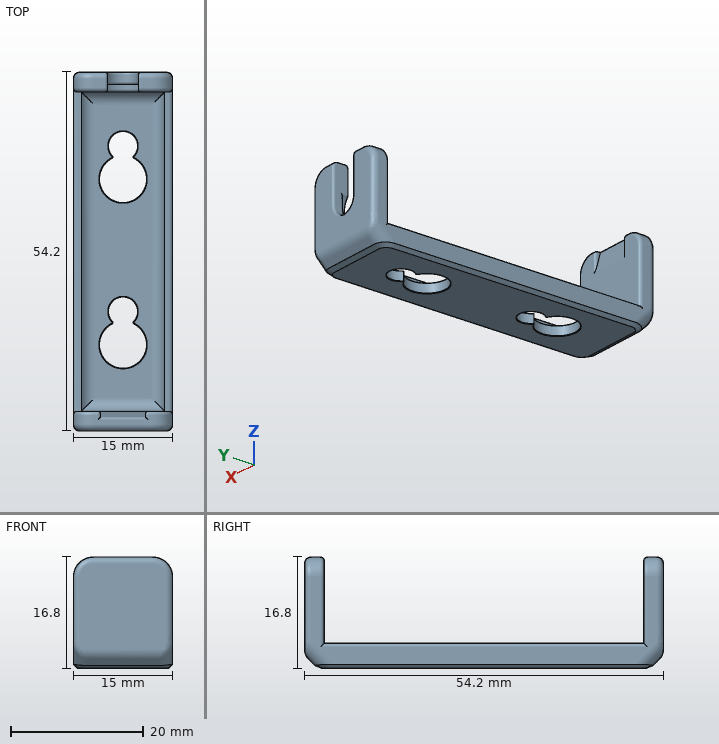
import cadquery as cq
import math

width = 15.0
length = 54.2
height = 16.8
end_thickness = 3.0
base_height = 3.8
inner_half_length = length / 2 - end_thickness

top_corner_radius = 3.0
heel_chamfer = 2.0
heel_fillet = 2.0
outer_fillet = 1.0
inner_fillet = 0.6
bottom_chamfer = 0.6

dish_width = 12.6
dish_depth = 2.0

keyhole_spacing = 25.0
keyhole_head_diameter = 7.1
keyhole_neck_diameter = 4.4
keyhole_corner_radius = 0.2
keyhole_bevel = 0.1
keyhole_first_head_y = -14.05
keyhole_offset = 5.0

slot_width = 4.65
seat_diameter = 6.4
seat_depth = 1.1
seat_center_z = 9.4
slot_fillet = 0.4

ramp_width = 6.8
ramp_depth = 1.0
ramp_angle = 15.0
ramp_fillet = 0.4

margin = 0.01


def pick_edges(body, wanted):
    """Select the edges whose bounding box satisfies the test."""
    edges = body.edges().vals()
    return body.newObject([edge for edge in edges if wanted(edge.BoundingBox())])


def on_end_face(box):
    """Edge lies in one of the two outer end planes."""
    return box.ylen < margin and abs(abs(box.ymin) - length / 2) < margin


def on_heel(box):
    """Edge bounds a heel chamfer, other than along the underside."""
    outside = abs(box.center.y) > length / 2 - heel_chamfer
    return outside and margin < box.zmax < heel_chamfer + margin


def on_inner_outline(box):
    """Edge belongs to the inner U outline on a side, or to the inner outline of an end."""
    on_side = box.xlen < margin and abs(abs(box.xmin) - width / 2) < margin
    inside = abs(box.center.y) < inner_half_length + margin
    on_end = box.ylen < margin and abs(abs(box.ymin) - inner_half_length) < margin
    above_base = box.zmin > base_height - margin and box.zmax > base_height + margin
    along_rim = box.zmax < base_height + margin and box.zmin > base_height - margin
    return (on_side and inside and along_rim) or (on_end and above_base)


def make_body():
    """U-shaped side outline across the full width, with rounded upper corners."""
    half = length / 2
    body = (
        cq.Workplane("YZ")
        .moveTo(-half + heel_chamfer, 0)
        .lineTo(half - heel_chamfer, 0)
        .lineTo(half, heel_chamfer)
        .lineTo(half, height)
        .lineTo(inner_half_length, height)
        .lineTo(inner_half_length, base_height)
        .lineTo(-inner_half_length, base_height)
        .lineTo(-inner_half_length, height)
        .lineTo(-half, height)
        .lineTo(-half, heel_chamfer)
        .close()
        .extrude(width / 2, both=True)
    )
    return body.edges("|Y and >Z").fillet(top_corner_radius)


def soften_edges(body):
    """Round the heels, the end faces and the inner outline, and chamfer the underside."""
    body = pick_edges(body, on_heel).fillet(heel_fillet)
    above_heel = heel_chamfer + heel_fillet / 2
    body = pick_edges(body, lambda box: on_end_face(box) and box.zmax > above_heel).fillet(outer_fillet)
    body = pick_edges(body, on_inner_outline).fillet(inner_fillet)
    return body.faces("<Z").edges().chamfer(bottom_chamfer)


def dish_profile(plane, span, run):
    """Trough of the given span with quarter-round sides, running along the plane's normal."""
    half = span / 2
    floor_z = base_height - dish_depth
    return (
        cq.Workplane(plane)
        .moveTo(-half, height)
        .lineTo(-half, base_height)
        .radiusArc((-half + dish_depth, floor_z), -dish_depth)
        .lineTo(half - dish_depth, floor_z)
        .radiusArc((half, base_height), -dish_depth)
        .lineTo(half, height)
        .close()
        .extrude(run / 2, both=True)
    )


def make_dish():
    """Dish with rounded lower edges that meet in mitred corners."""
    dish_length = 2 * inner_half_length
    across = dish_profile("XZ", dish_width, dish_length)
    along = dish_profile("YZ", dish_length, dish_width)
    return across.intersect(along)


def cut_keyhole(body, head_y):
    """Keyhole through the base with a small bevel around both rims; the neck lies towards +Y."""
    floor_z = base_height - dish_depth
    head = cq.Workplane("XY").center(0, head_y).circle(keyhole_head_diameter / 2).extrude(floor_z)
    neck_y = head_y + keyhole_offset
    neck = cq.Workplane("XY").center(0, neck_y).circle(keyhole_neck_diameter / 2).extrude(floor_z)
    cutter = head.union(neck)
    cutter = pick_edges(cutter, is_junction).fillet(keyhole_corner_radius)
    body = body.cut(cutter)
    outline = cutter.val().BoundingBox()
    return pick_edges(body, lambda box: is_rim(box, outline)).chamfer(keyhole_bevel)


def is_junction(box):
    """Upright edge where the head and the neck of a keyhole meet."""
    return box.zlen > margin and abs(abs(box.xmin)) > margin and box.xlen < margin and box.ylen < margin


def is_rim(box, outline):
    """Level edge inside the plan outline of a keyhole."""
    inside_x = outline.xmin - margin < box.xmin and box.xmax < outline.xmax + margin
    inside_y = outline.ymin - margin < box.ymin and box.ymax < outline.ymax + margin
    return inside_x and inside_y and box.zlen < margin


def slot_cutter(y_start, depth, diameter):
    """Round-bottomed slot, open at the top, cut towards +Y from y_start."""
    radius = diameter / 2
    top = height + 1
    return (
        cq.Workplane("XZ", origin=(0, y_start, 0))
        .moveTo(-radius, top)
        .lineTo(-radius, seat_center_z)
        .threePointArc((0, seat_center_z - radius), (radius, seat_center_z))
        .lineTo(radius, top)
        .close()
        .extrude(-depth)
    )


def on_slot_rim(box):
    """Edge is a sharp outer edge of the slot or its seat."""
    reach = seat_diameter / 2 + margin
    seat_back_y = inner_half_length + seat_depth
    near_slot = box.ymin > inner_half_length - margin and abs(box.center.x) + box.xlen / 2 < reach
    at_back_corner = box.ylen < margin and abs(box.ymin - seat_back_y) < margin and box.xlen > slot_width + margin
    tangent_seam = box.zlen < margin and abs(box.zmin - seat_center_z) < margin
    return near_slot and box.zmin > base_height and not at_back_corner and not tangent_seam


def cut_slot(body):
    """Open slot with a round seat on the inner side, all edges rounded."""
    slot = slot_cutter(inner_half_length, end_thickness, slot_width)
    seat = (
        cq.Workplane("XZ", origin=(0, inner_half_length, seat_center_z))
        .circle(seat_diameter / 2)
        .extrude(-seat_depth)
    )
    body = body.cut(slot).cut(seat)
    return pick_edges(body, on_slot_rim).fillet(slot_fillet)


def on_ramp_top(box):
    """Edge outlines the open top of the ramp."""
    in_end = -length / 2 + outer_fillet < box.ymin and box.ymax < -inner_half_length - inner_fillet + margin
    in_width = abs(box.center.x) + box.xlen / 2 < ramp_width / 2 + margin
    return in_end and in_width and box.zmin > height - margin


def cut_ramp(body):
    """Sloping lead-in on the inner side of the -Y end, open at the top."""
    face_y = -inner_half_length
    ramp_height = ramp_depth / math.tan(math.radians(ramp_angle))
    ramp = (
        cq.Workplane("YZ")
        .moveTo(face_y, height - ramp_height)
        .lineTo(face_y - ramp_depth, height)
        .lineTo(face_y, height)
        .close()
        .extrude(ramp_width / 2, both=True)
    )
    return pick_edges(body.cut(ramp), on_ramp_top).fillet(ramp_fillet)


result = soften_edges(make_body()).cut(make_dish())
for number in range(2):
    result = cut_keyhole(result, keyhole_first_head_y + number * keyhole_spacing)
result = cut_slot(result)
result = cut_ramp(result)